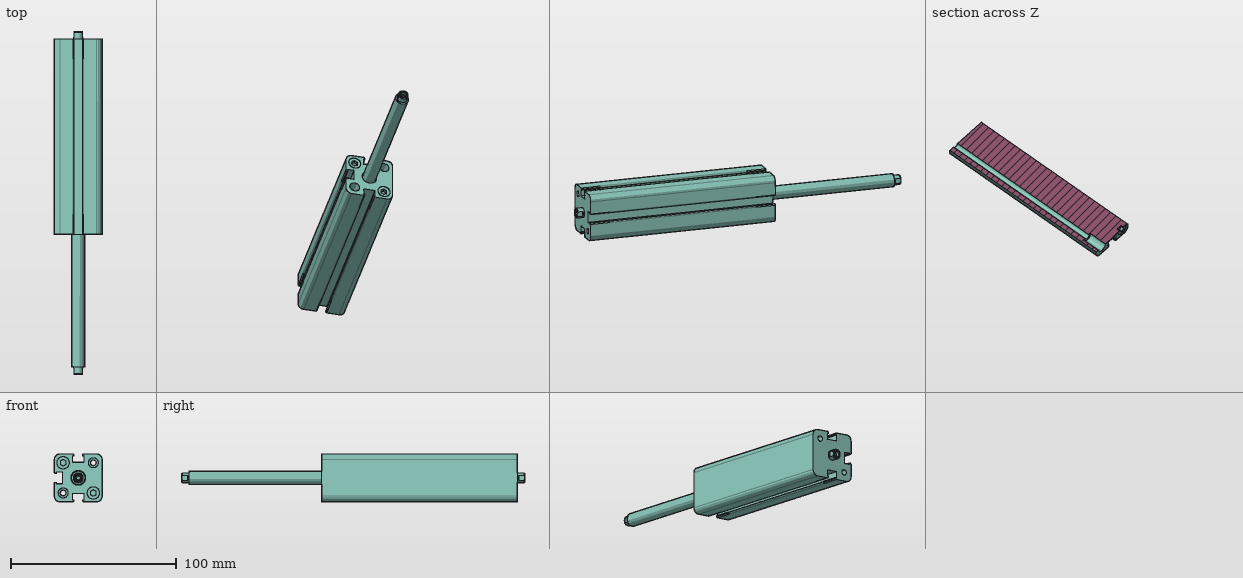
import cadquery as cq

total_length = 207.0
stub_length = 4.5
barrel_length = 118.0
cap_length = 12.0
rod_front = -total_length / 2
barrel_back = total_length / 2 - stub_length
barrel_front = barrel_back - barrel_length
rod_shoulder = rod_front + stub_length

width = 29.0
half_width = width / 2
corner_radius = 3.5

slot_opening = 5.4
slot_inner_width = 6.8
slot_depth = 5.0
lip_thickness = 1.2
lip_edge = lip_thickness / 2

slot_angles = (0, 90, 180)

rod_diameter = 8.0
rod_bore_diameter = 9.0
rod_bore_depth = 2.0
stub_diameter = 6.0
stub_tip_diameter = 5.2
stub_tip_length = 0.6
flat_distance = 5.2
flat_length = 3.5

center_sink_diameter = 4.1
center_hole_diameter = 3.3
center_hole_depth = 2.5
center_tip_diameter = 2.5
center_tip_depth = 1.2

hole_offset = 9.1
through_diameter = 3.3
counterbore_diameter = 6.0
screw_head_diameter = 7.5
screw_head_recess = 0.2
socket_corner_diameter = 4.0
socket_depth = 2.0
socket_turn = 30


def cylinder(diameter, y_start, length, x=0.0, z=0.0):
    """Cylinder that starts at y_start and runs toward +Y."""
    return cq.Workplane(
        cq.Solid.makeCylinder(diameter / 2, length, cq.Vector(x, y_start, z), cq.Vector(0, 1, 0))
    )


def cone(start_diameter, end_diameter, y_start, length):
    """Cone on the Y axis that starts at y_start and runs toward +Y."""
    return cq.Workplane(
        cq.Solid.makeCone(
            start_diameter / 2, end_diameter / 2, length, cq.Vector(0, y_start, 0), cq.Vector(0, 1, 0)
        )
    )


def section_plane(y):
    """Sketch plane across the part: local x is X, local y is Z, extrudes toward -Y."""
    return cq.Workplane("XZ", origin=(0, y, 0))


def slot_cutter(y_back, length, round_lips):
    """Top slot; its lips have either a half-round nose or a chamfered outer edge."""
    throat = slot_opening / 2
    mouth = throat + lip_edge
    inner = slot_inner_width / 2
    top = half_width
    lip_middle = top - lip_edge
    lip_bottom = top - lip_thickness
    floor = top - slot_depth

    half = section_plane(y_back).moveTo(0, floor).lineTo(0, top).lineTo(mouth, top)
    if round_lips:
        half = half.threePointArc((throat, lip_middle), (mouth, lip_bottom))
    else:
        half = half.lineTo(throat, lip_middle).lineTo(throat, lip_bottom)
    half = half.lineTo(inner, lip_bottom).lineTo(inner, floor).close().extrude(length)
    return half.union(half.mirror("YZ"))


def barrel_segment(y_back, length, round_lips):
    """Rounded square bar with its three slots."""
    bar = section_plane(y_back).rect(width, width).extrude(length)
    bar = bar.edges("|Y").fillet(corner_radius)
    cutter = slot_cutter(y_back, length, round_lips)
    for angle in slot_angles:
        bar = bar.cut(cutter.rotate((0, 0, 0), (0, 1, 0), -angle))
    return bar


def flat_cutter():
    """Cuts the +X flat at rod_front, with a 45 degree ramp back up to the stub surface."""
    bottom = flat_distance / 2
    outside = stub_diameter
    flat_end = rod_front + flat_length
    ramp_end = flat_end + stub_diameter / 2 - bottom
    return (
        cq.Workplane("XY", origin=(0, 0, -stub_diameter / 2))
        .moveTo(bottom, rod_front)
        .lineTo(bottom, flat_end)
        .lineTo(stub_diameter / 2, ramp_end)
        .lineTo(outside, ramp_end)
        .lineTo(outside, rod_front)
        .close()
        .extrude(stub_diameter)
    )


def front_stub():
    """Stub with a tapered tip, two flats and a centre hole, ending at rod_front."""
    tip_base = rod_front + stub_tip_length
    stub = cone(stub_tip_diameter, stub_diameter, rod_front, stub_tip_length)
    stub = stub.union(cylinder(stub_diameter, tip_base, stub_length - stub_tip_length))
    flat = flat_cutter()
    stub = stub.cut(flat).cut(flat.mirror("YZ"))

    sink_depth = (center_sink_diameter - center_hole_diameter) / 2
    sink = cone(center_sink_diameter, center_hole_diameter, rod_front, sink_depth)
    hole = cylinder(center_hole_diameter, rod_front, center_hole_depth)
    drill_tip = cone(center_tip_diameter, 0, rod_front + center_hole_depth, center_tip_depth)
    return stub.cut(sink).cut(hole).cut(drill_tip)


front_cap_back = barrel_front + cap_length
back_cap_front = barrel_back - cap_length
barrel = barrel_segment(barrel_back, cap_length, False)
barrel = barrel.union(barrel_segment(back_cap_front, back_cap_front - front_cap_back, True))
barrel = barrel.union(barrel_segment(front_cap_back, cap_length, False))

for side in (-1, 1):
    x = z = side * hole_offset
    barrel = barrel.cut(cylinder(through_diameter, barrel_front, barrel_length, x, z))
    barrel = barrel.cut(cylinder(counterbore_diameter, barrel_front, cap_length, x, z))

for side in (-1, 1):
    x = side * hole_offset
    z = -x
    barrel = barrel.cut(cylinder(screw_head_diameter, barrel_front, screw_head_recess, x, z))
    socket = (
        section_plane(barrel_front + screw_head_recess + socket_depth)
        .polygon(6, socket_corner_diameter)
        .extrude(socket_depth)
        .rotate((0, 0, 0), (0, 1, 0), socket_turn)
        .translate((x, 0, z))
    )
    barrel = barrel.cut(socket)

barrel = barrel.cut(cylinder(rod_bore_diameter, barrel_front, rod_bore_depth))
rod = cylinder(rod_diameter, rod_shoulder, barrel_front + rod_bore_depth - rod_shoulder)
stub = front_stub()
result = barrel.union(rod).union(stub).union(stub.mirror("XZ"))